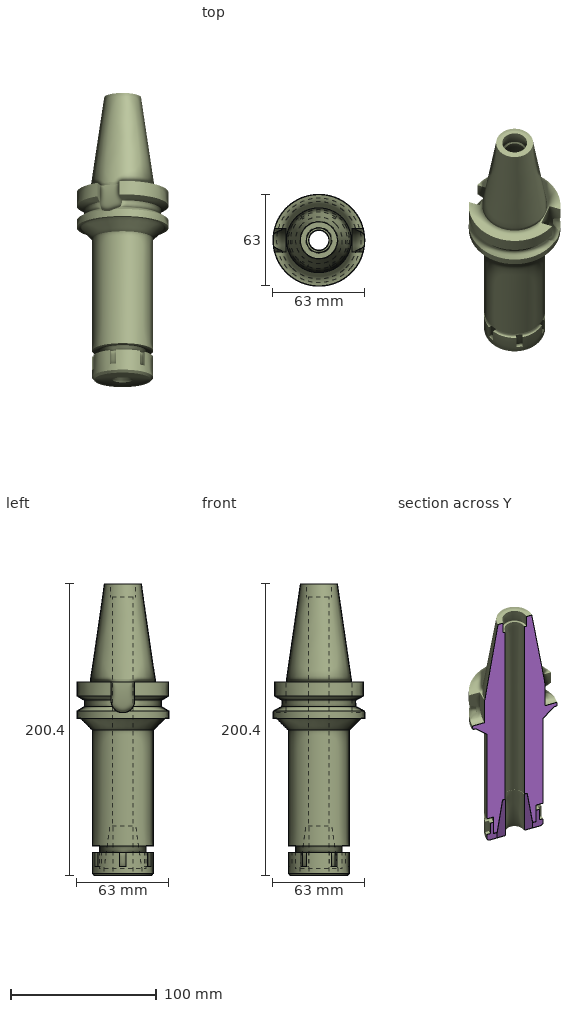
import cadquery as cq
import math


gauge_radius = 44.45 / 2
taper_length = 65.4
taper_ratio = 7 / 24
taper_top_radius = gauge_radius - taper_length * taper_ratio / 2

flange_radius = 63 / 2
flange_top = -2.0
upper_rim_bottom = -11.6
groove_top = -14.5
groove_bottom = -18.9
lower_rim_top = -22.0
flange_bottom = -27.0
groove_radius = 53 / 2

slot_width = 16.1
slot_floor_x = 22.6
slot_end_depth = 21.1

body_radius = 42 / 2
shoulder_bottom = -35.0
shoulder_radius = body_radius + flange_bottom - shoulder_bottom
body_bottom = -114.5
neck_radius = 32 / 2

nut_radius = body_radius
nut_top = -118.9
nut_bottom = -135.0
nut_chamfer_radial = 1.5
nut_chamfer_axial = 1.7
front_wall_thickness = 5.0
neck_bottom = nut_bottom + front_wall_thickness
wrench_slot_count = 6
wrench_slot_width = 4.5
wrench_slot_length = 9.8
wrench_slot_depth = 2.7

pull_stud_radius = 17 / 2
pull_stud_depth = 9.0
bore_radius = 14 / 2

collet_angle = math.radians(8)
collet_mouth_radius = 26 / 2
collet_bore_radius = 13.7 / 2
collet_length = 34.0
collet_top = nut_bottom + collet_length
collet_top_radius = collet_mouth_radius - (collet_top - neck_bottom) * math.tan(collet_angle)


def revolve_profile(points):
    """Turn a closed (radius, z) outline once around the Z axis."""
    return cq.Workplane("XZ").polyline(points).close().revolve(360, (0, 0, 0), (0, 1, 0))


def make_cylinder(radius, bottom, top):
    return cq.Workplane("XY").workplane(offset=bottom).circle(radius).extrude(top - bottom)


def make_driving_slot():
    """Cutter for the slot on the +X side: straight sides and a round lower end."""
    half_width = slot_width / 2
    arc_center_z = flange_top - slot_end_depth + half_width
    return (
        cq.Workplane("YZ", origin=(slot_floor_x, 0, 0))
        .moveTo(-half_width, flange_top)
        .lineTo(-half_width, arc_center_z)
        .threePointArc((0, arc_center_z - half_width), (half_width, arc_center_z))
        .lineTo(half_width, flange_top)
        .close()
        .extrude(flange_radius)
    )


def make_collet():
    blank = revolve_profile([
        (0, nut_bottom),
        (collet_mouth_radius, nut_bottom),
        (collet_mouth_radius, neck_bottom),
        (collet_top_radius, collet_top),
        (0, collet_top),
    ])
    return blank.cut(make_cylinder(collet_bore_radius, nut_bottom, collet_top))


def make_holder():
    holder = revolve_profile([
        (0, taper_length),
        (taper_top_radius, taper_length),
        (gauge_radius, 0),
        (gauge_radius, flange_top),
        (flange_radius, flange_top),
        (flange_radius, upper_rim_bottom),
        (groove_radius, groove_top),
        (groove_radius, groove_bottom),
        (flange_radius, lower_rim_top),
        (flange_radius, flange_bottom),
        (shoulder_radius, flange_bottom),
        (body_radius, shoulder_bottom),
        (body_radius, body_bottom),
        (neck_radius, body_bottom),
        (neck_radius, neck_bottom),
        (0, neck_bottom),
    ])
    holder = holder.cut(make_cylinder(pull_stud_radius, taper_length - pull_stud_depth, taper_length))
    holder = holder.cut(make_cylinder(bore_radius, neck_bottom, taper_length))
    holder = holder.cut(revolve_profile([
        (0, neck_bottom),
        (collet_mouth_radius, neck_bottom),
        (collet_top_radius, collet_top),
        (0, collet_top),
    ]))
    slot = make_driving_slot()
    for angle in (0, 180):
        holder = holder.cut(slot.rotate((0, 0, 0), (0, 0, 1), angle))
    return holder


def make_nut():
    nut = revolve_profile([
        (neck_radius, nut_top),
        (nut_radius, nut_top),
        (nut_radius, nut_bottom + nut_chamfer_axial),
        (nut_radius - nut_chamfer_radial, nut_bottom),
        (collet_mouth_radius, nut_bottom),
        (collet_mouth_radius, neck_bottom),
        (neck_radius, neck_bottom),
    ])
    wrench_slot = (
        cq.Workplane("XY")
        .box(2 * wrench_slot_depth, wrench_slot_width, wrench_slot_length)
        .translate((nut_radius, 0, nut_top - wrench_slot_length / 2))
    )
    for index in range(wrench_slot_count):
        angle = index * 360 / wrench_slot_count
        nut = nut.cut(wrench_slot.rotate((0, 0, 0), (0, 0, 1), angle))
    return nut


holder = make_holder()
nut = make_nut()
collet = make_collet()
result = cq.Compound.makeCompound([holder.val(), nut.val(), collet.val()])